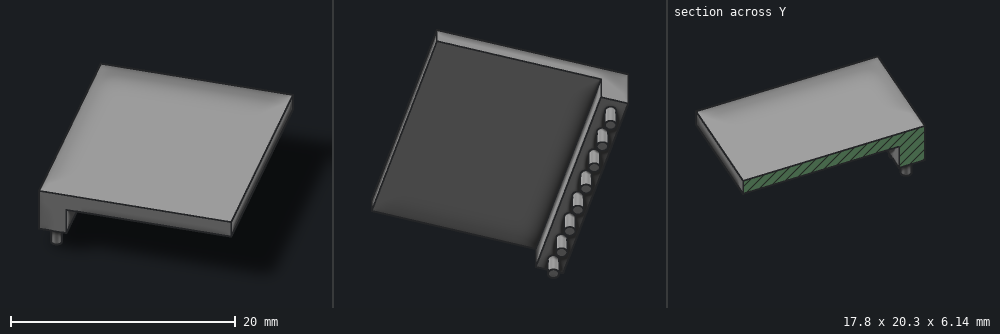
import cadquery as cq

pitch = 2.54
pin_count = 8
board_length = 7 * pitch
board_thickness = 1.6
pin_diameter = 1.0
pin_length = 2.0

header_size = pitch
board_width = pin_count * pitch

header_bottom = pin_length
board_bottom = header_bottom + header_size
pin_x = header_size / 2


def make_board():
    """Flat rectangular circuit board."""
    board = cq.Workplane("XY").box(board_length, board_width, board_thickness, centered=False)
    return board.translate((0, 0, board_bottom))


def make_header():
    """Square bar that carries the pins, flush with three sides of the board."""
    header = cq.Workplane("XY").box(header_size, board_width, header_size, centered=False)
    return header.translate((0, 0, header_bottom))


def make_pins():
    """Row of round pins, each centred in its own pitch of the header."""
    pin_centres = [(pin_x, (index + 0.5) * pitch) for index in range(pin_count)]
    return cq.Workplane("XY").pushPoints(pin_centres).circle(pin_diameter / 2).extrude(pin_length)


result = make_board().union(make_header()).union(make_pins()).clean()